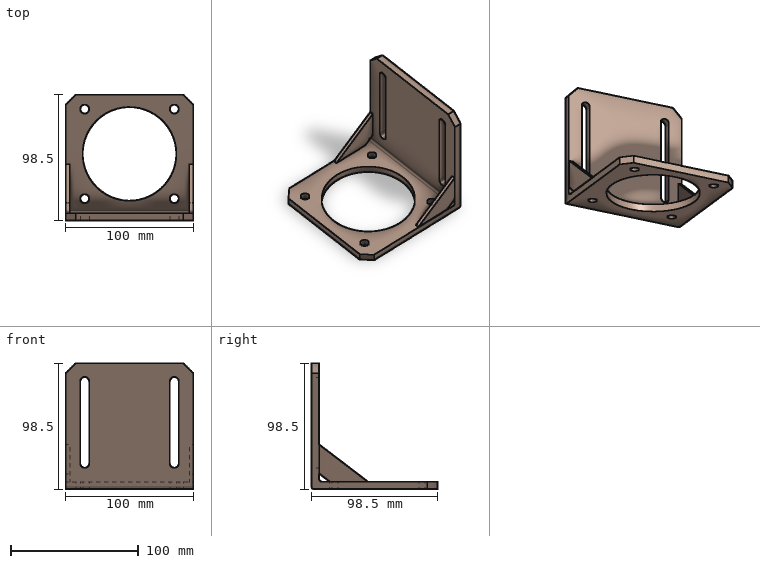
import cadquery as cq

width = 100.0
leg = 98.5
thickness = 6.0
bend_radius = 2.0
corner_chamfer = 8.0

cutout_center = 52.2
bore_diameter = 73.0
hole_diameter = 6.8
hole_pitch = 70.0
slot_length = 70.8

gusset_thickness = 3.0
gusset_inset = 0.3
gusset_reach = 38.0
gusset_height = 29.0
gusset_gap_reach = 8.0
gusset_gap_height = gusset_gap_reach * gusset_height / gusset_reach


def make_angle():
    """L section extruded along X, with rounded bend and chamfered free corners."""
    body = (
        cq.Workplane("YZ")
        .moveTo(0, 0)
        .lineTo(leg, 0)
        .lineTo(leg, thickness)
        .lineTo(thickness, thickness)
        .lineTo(thickness, leg)
        .lineTo(0, leg)
        .close()
        .extrude(width / 2, both=True)
    )
    bend_edges = cq.selectors.BoxSelector(
        (-width, -1, -1), (width, thickness + 1, thickness + 1)
    )
    body = body.edges("|X").edges(bend_edges).fillet(bend_radius)
    body = body.faces(">Y").edges("|Z").chamfer(corner_chamfer)
    return body.faces(">Z").edges("|Y").chamfer(corner_chamfer)


def make_gusset(x_start):
    """Diagonal strip between the plates, leaving the inside of the bend open."""
    return (
        cq.Workplane("YZ", origin=(x_start, thickness, thickness))
        .moveTo(gusset_gap_reach, 0)
        .lineTo(gusset_reach, 0)
        .lineTo(0, gusset_height)
        .lineTo(0, gusset_gap_height)
        .close()
        .extrude(gusset_thickness)
    )


def make_base_cuts():
    """Central bore and four mounting holes through the base."""
    base = cq.Workplane("XY").center(0, cutout_center)
    bore = base.circle(bore_diameter / 2).extrude(thickness)
    holes = (
        base.rect(hole_pitch, hole_pitch, forConstruction=True)
        .vertices()
        .circle(hole_diameter / 2)
        .extrude(thickness)
    )
    return bore.union(holes)


def make_wall_slots():
    """Two vertical adjustment slots through the upright wall."""
    return (
        cq.Workplane("XZ")
        .center(0, cutout_center)
        .pushPoints([(-hole_pitch / 2, 0), (hole_pitch / 2, 0)])
        .slot2D(slot_length, hole_diameter, 90)
        .extrude(-thickness)
    )


result = make_angle().cut(make_base_cuts()).cut(make_wall_slots())
gusset_outer_x = width / 2 - gusset_inset
for gusset_x in (-gusset_outer_x, gusset_outer_x - gusset_thickness):
    result = result.union(make_gusset(gusset_x))